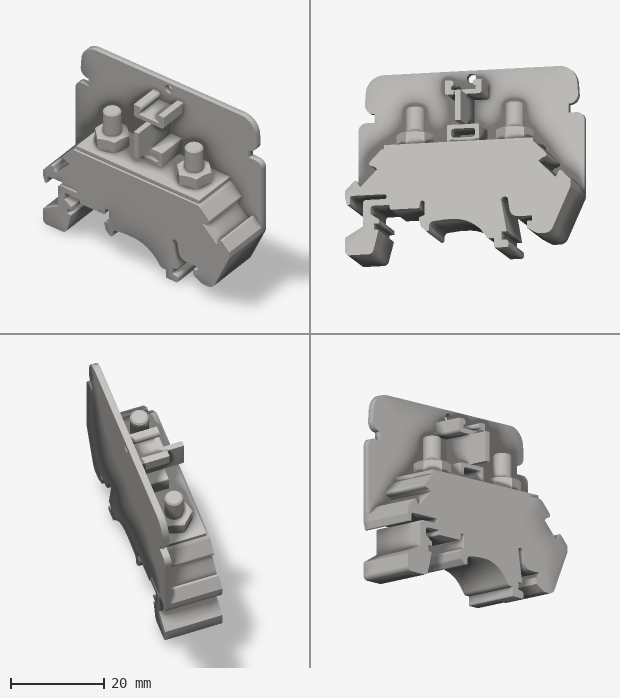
import cadquery as cq
import math

HALF_LENGTH = 25.0
DEPTH = 13.0
HEIGHT = 41.4
SIDE_BOTTOM_Z = 12.6

BACK_THICKNESS = 1.5
BACK_BASE_Z = 14.1
PEEP_HOLE_DIAMETER = 2.0
PEEP_HOLE_Z = 39.7

BODY_TOP_Z = 22.9
STRIP_HALF_LENGTH = 16.5
STRIP_THICKNESS = 0.9
STRIP_FRONT_INSET = 0.55
STRIP_TOP_Z = BODY_TOP_Z + STRIP_THICKNESS

STUD_X = 11.0
STUD_Y = -7.0
STUD_DIAMETER = 4.0
STUD_TOP_Z = 32.65
STUD_CHAMFER = 0.35
NUT_CORNERS = 8.0
NUT_HEIGHT = 3.15
NUT_TURN = 15.0
NUT_BEVEL_RISE = 0.25
NUT_BEVEL_RUN = 0.55

MARKER_DEPTH = 8.5
CHANNEL_HALF_WIDTH = 4.05
CHANNEL_HALF_OPENING = 2.7
CHANNEL_BOTTOM_Z = 34.9
CHANNEL_HEIGHT = 3.1
CHANNEL_FLOOR = 1.0
CHANNEL_CORNER_RADIUS = 0.65
LIP_OVERHANG = 0.6
LIP_HEIGHT = 1.3
LIP_TOP_RADIUS = 0.7
LIP_UNDER_RADIUS = 0.55
FRAME_HALF_WIDTH = 3.55
FRAME_BOTTOM_Z = 24.55
FRAME_HEIGHT = 3.75
FRAME_WALL = 0.9
FRAME_CORNER_RADIUS = 0.3
FRAME_WINDOW_RADIUS = 0.65
WEB_THICKNESS = 1.25


def rounded_outline(corners):
    """Closed XZ wire through (x, z, corner radius) points; the first one is sharp."""
    path = cq.Workplane("XZ").moveTo(*corners[0][:2])
    for i in range(1, len(corners)):
        x, z, radius = corners[i]
        if radius == 0:
            path = path.lineTo(x, z)
            continue
        before = corners[i - 1]
        after = corners[(i + 1) % len(corners)]
        corner = cq.Vector(x, z, 0)
        to_before = (cq.Vector(before[0], before[1], 0) - corner).normalized()
        to_after = (cq.Vector(after[0], after[1], 0) - corner).normalized()
        half_angle = to_before.getAngle(to_after) / 2
        setback = radius / math.tan(half_angle)
        to_middle = radius / math.sin(half_angle) - radius
        arc_start = corner + to_before * setback
        arc_middle = corner + (to_before + to_after).normalized() * to_middle
        arc_end = corner + to_after * setback
        path = path.lineTo(arc_start.x, arc_start.y)
        path = path.threePointArc((arc_middle.x, arc_middle.y), (arc_end.x, arc_end.y))
    return path.close()


def mirrored(corners):
    """The same corners on the other side of X = 0, in reverse order."""
    return [(-x, z, radius) for x, z, radius in reversed(corners)]


def make_body():
    shoulder = [
        (-HALF_LENGTH, BACK_BASE_Z, 0),
        (-22.45, 16.65, 0.45),
        (-22.1, 15.4, 0.3),
        (-21.55, 14.8, 0),
        (-17.85, 18.5, 0),
        (-18.45, 19.05, 0.3),
        (-20.1, 19.55, 0.55),
        (-16.8, BODY_TOP_Z, 1.6),
    ]
    right_foot = [
        (HALF_LENGTH, SIDE_BOTTOM_Z, 0),
        (20.5, 2.65, 1.9),
        (17.6, 2.65, 1.25),
        (15.3, 4.0, 0),
        (15.3, 5.55, 0.25),
        (16.4, 5.55, 0),
        (16.4, 6.6, 0),
        (11.7, 6.6, 1.9),
        (11.0, 11.05, 0.7),
        (9.45, 11.05, 0.7),
        (10.85, 3.45, 0),
    ]
    middle = [
        (9.65, 3.45, 0),
        (9.65, 1.75, 0),
        (11.2, 1.6, 0.6),
        (11.2, 0, 0.4),
        (8.0, 0, 0.3),
        (8.0, 2.1, 0),
        (6.6, 2.1, 1.2),
        (3.4, 6.75, 8.5),
        (-2.75, 6.75, 7.5),
        (-6.35, 6.4, 1.0),
        (-6.35, 3.7, 0.5),
        (-8.2, 5.5, 1.0),
        (-8.7, 7.5, 0.5),
        (-7.35, 7.95, 0),
        (-7.35, 11.1, 0.5),
        (-8.35, 11.1, 0.5),
        (-8.5, 9.5, 0.3),
        (-15.0, 9.5, 0.3),
        (-15.15, 10.55, 0.2),
    ]
    left_foot = [
        (-19.3, 10.55, 0.55),
        (-19.3, 8.75, 0),
        (-17.4, 7.5, 0.15),
        (-17.4, 6.65, 0),
        (-18.6, 6.65, 0),
        (-18.6, 5.35, 0),
        (-17.5, 5.35, 0.3),
        (-18.9, 0, 1.2),
        (-HALF_LENGTH, 0, 1.0),
        (-HALF_LENGTH, 3.85, 0),
        (-21.0, 6.15, 0),
        (-21.0, 11.9, 0.7),
        (-15.8, 11.9, 0.45),
        (-15.8, 12.95, 0.5),
        (-23.9, 12.95, 0.5),
        (-23.9, 11.0, 0.25),
        (-24.55, 11.0, 0.25),
        (-HALF_LENGTH, SIDE_BOTTOM_Z, 0),
    ]
    outline = shoulder + mirrored(shoulder) + right_foot + middle + left_foot
    return rounded_outline(outline).extrude(DEPTH)


def make_back_plate():
    left_edge = [
        (-HALF_LENGTH, BACK_BASE_Z, 0),
        (-HALF_LENGTH, 31.1, 1.65),
        (-21.5, 31.1, 0),
        (-21.5, 33.05, 0),
        (-23.75, 33.05, 2.0),
        (-23.15, HEIGHT, 4.0),
    ]
    plate = rounded_outline(left_edge + mirrored(left_edge)).extrude(BACK_THICKNESS)
    peep_hole = (
        cq.Workplane("XZ")
        .center(0, PEEP_HOLE_Z)
        .circle(PEEP_HOLE_DIAMETER / 2)
        .extrude(BACK_THICKNESS)
    )
    return plate.cut(peep_hole)


def make_strip():
    strip_width = DEPTH - STRIP_FRONT_INSET
    return (
        cq.Workplane("XY", origin=(0, -strip_width / 2, BODY_TOP_Z))
        .rect(2 * STRIP_HALF_LENGTH, strip_width)
        .extrude(STRIP_THICKNESS)
    )


def make_terminal(x):
    base = cq.Workplane("XY", origin=(x, STUD_Y, STRIP_TOP_Z))
    disc = (
        base.circle(NUT_CORNERS / 2)
        .extrude(NUT_HEIGHT)
        .faces("<Z or >Z")
        .chamfer(NUT_BEVEL_RISE, NUT_BEVEL_RUN)
    )
    nut = (
        base.transformed(rotate=(0, 0, NUT_TURN))
        .polygon(6, NUT_CORNERS)
        .extrude(NUT_HEIGHT)
        .intersect(disc)
    )
    stud = (
        base.circle(STUD_DIAMETER / 2)
        .extrude(STUD_TOP_Z - STRIP_TOP_Z)
        .faces(">Z")
        .chamfer(STUD_CHAMFER)
    )
    return nut.union(stud)


def make_channel():
    floor_z = CHANNEL_BOTTOM_Z + CHANNEL_FLOOR
    top_z = CHANNEL_BOTTOM_Z + CHANNEL_HEIGHT
    lip_x = CHANNEL_HALF_OPENING - LIP_OVERHANG
    left_half = [
        (0, CHANNEL_BOTTOM_Z, 0),
        (-CHANNEL_HALF_WIDTH, CHANNEL_BOTTOM_Z, CHANNEL_CORNER_RADIUS),
        (-CHANNEL_HALF_WIDTH, top_z, 0),
        (-lip_x, top_z, LIP_TOP_RADIUS),
        (-lip_x, top_z - LIP_HEIGHT, LIP_UNDER_RADIUS),
        (-CHANNEL_HALF_OPENING, top_z - LIP_HEIGHT, 0),
        (-CHANNEL_HALF_OPENING, floor_z, 0),
    ]
    right_half = mirrored(left_half[1:])
    return rounded_outline(left_half + right_half).extrude(MARKER_DEPTH)


def make_frame():
    middle_z = FRAME_BOTTOM_Z + FRAME_HEIGHT / 2
    frame = cq.Workplane("XZ").center(0, middle_z).rect(2 * FRAME_HALF_WIDTH, FRAME_HEIGHT)
    frame = frame.extrude(MARKER_DEPTH).edges("|Y").fillet(FRAME_CORNER_RADIUS)
    window = (
        cq.Workplane("XZ", origin=(0, -BACK_THICKNESS, middle_z))
        .rect(2 * (FRAME_HALF_WIDTH - FRAME_WALL), FRAME_HEIGHT - 2 * FRAME_WALL)
        .extrude(MARKER_DEPTH)
        .edges("|Y")
        .fillet(FRAME_WINDOW_RADIUS)
    )
    return frame.cut(window)


def make_web():
    frame_top_z = FRAME_BOTTOM_Z + FRAME_HEIGHT
    web_height = CHANNEL_BOTTOM_Z - frame_top_z
    return (
        cq.Workplane("XZ")
        .center(0, frame_top_z + web_height / 2)
        .rect(WEB_THICKNESS, web_height)
        .extrude(DEPTH)
    )


result = make_body().union(make_back_plate()).union(make_strip())
for side in (-1, 1):
    result = result.union(make_terminal(side * STUD_X))
result = result.union(make_channel()).union(make_frame()).union(make_web())